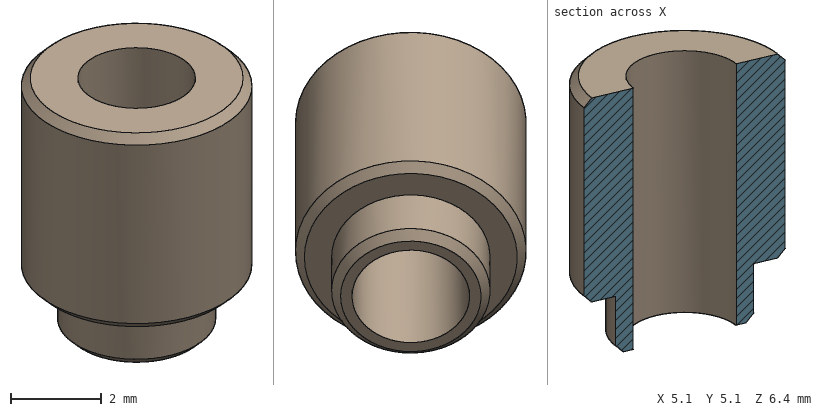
import cadquery as cq

total_height = 6.4
body_diameter = 5.1
spigot_diameter = 3.5
bore_diameter = 2.6
spigot_height = 1.4
edge_chamfer = 0.2

body_height = total_height - spigot_height


def spigot():
    """Narrow lower end, chamfered on its bottom rim."""
    cylinder = cq.Workplane("XY").circle(spigot_diameter / 2).extrude(spigot_height)
    return cylinder.faces("<Z").edges().chamfer(edge_chamfer)


def body():
    """Wide sleeve above the spigot, chamfered on both rims."""
    base = cq.Workplane("XY").workplane(offset=spigot_height)
    cylinder = base.circle(body_diameter / 2).extrude(body_height)
    return cylinder.faces("<Z or >Z").edges().chamfer(edge_chamfer)


def bore():
    """Straight through hole along the axis."""
    return cq.Workplane("XY").circle(bore_diameter / 2).extrude(total_height)


result = spigot().union(body()).cut(bore())